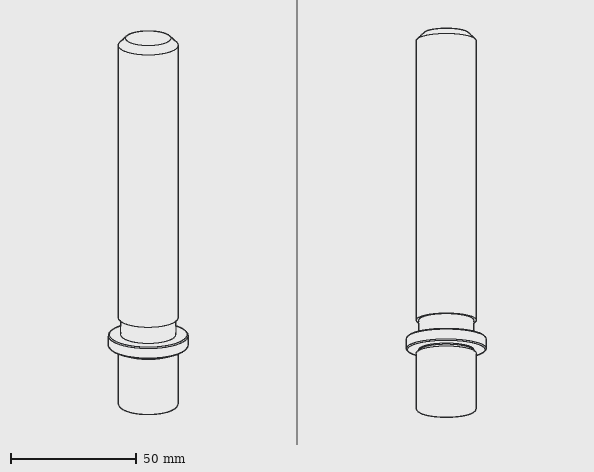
import cadquery as cq

total_length = 155.0
pin_diameter = 24.0
neck_diameter = 22.0
tip_chamfer = 3.0

collar_diameter = 32.0
collar_bottom = 25.1
collar_thickness = 5.0
collar_chamfer = 0.5

upper_neck_length = 7.1
lower_neck_length = 0.5
foot_fillet = 1.2

collar_top = collar_bottom + collar_thickness
shaft_bottom = collar_top + upper_neck_length
shank_length = collar_bottom - lower_neck_length
shank_chamfer = (pin_diameter - neck_diameter) / 2


def cylinder(diameter, bottom, top):
    """Solid cylinder about the Z axis between two heights."""
    return cq.Workplane("XY").workplane(offset=bottom).circle(diameter / 2).extrude(top - bottom)


shank = cylinder(pin_diameter, 0, shank_length)
shank = shank.faces(">Z").edges().chamfer(shank_chamfer)
shank = shank.faces("<Z").edges().fillet(foot_fillet)

neck = cylinder(neck_diameter, shank_length, shaft_bottom)

collar = cylinder(collar_diameter, collar_bottom, collar_top)
collar = collar.faces("<Z or >Z").edges().chamfer(collar_chamfer)

shaft = cylinder(pin_diameter, shaft_bottom, total_length)
shaft = shaft.faces(">Z").edges().chamfer(tip_chamfer)

result = shank.union(neck).union(collar).union(shaft)